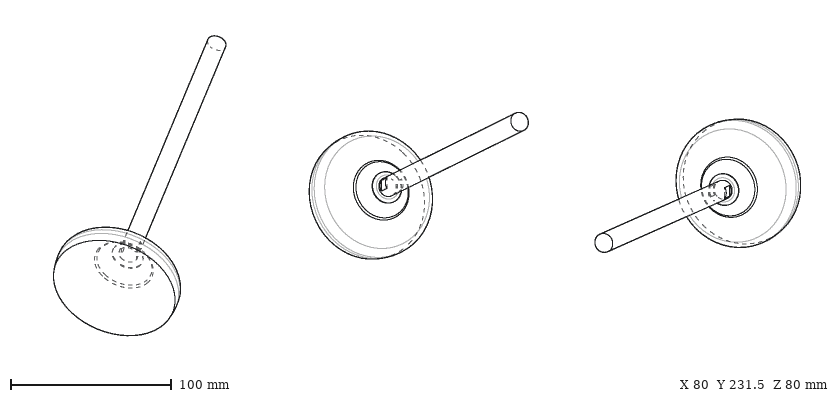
import cadquery as cq
import math

total_length = 231.5

base_radius = 39.4
rim_radius = 40.0
rim_start = 5.8
rim_end = 9.3
shoulder_slope = 20.5
neck_radius = 19.0
neck_height = 21.8
seat_radius = 17.8
seat_height = 23.2

dome_top_radius = 10.0
dome_top_height = 30.0
dome_rise = dome_top_height - seat_height
dome_centre_depth = (seat_radius**2 - dome_top_radius**2 - dome_rise**2) / (2 * dome_rise)
dome_sphere_radius = math.hypot(seat_radius, dome_centre_depth)
dome_mid_height = seat_height + dome_rise / 2
dome_mid_radius = math.sqrt(dome_sphere_radius**2 - (dome_centre_depth + dome_rise / 2) ** 2)

collar_edge_height = 30.8
collar_top_radius = 7.6
collar_top_height = 31.5
rod_radius = 6.0

flat_start = 33.3
flat_length = 8.0
across_flats = 10.0

shoulder_angle = math.radians(shoulder_slope)
neck_drop = (rim_radius - neck_radius) * math.tan(shoulder_angle)
corner_height = neck_height - neck_drop
shoulder_turn = math.pi / 2 - shoulder_angle
shoulder_arc_radius = (corner_height - rim_end) / math.tan(shoulder_turn / 2)


def shoulder_point(turn):
    """Point on the shoulder arc after turning away from the rim by an angle."""
    return (
        rim_radius - shoulder_arc_radius * (1 - math.cos(turn)),
        rim_end + shoulder_arc_radius * math.sin(turn),
    )


def revolve_about_y(profile):
    """Turn a closed radius/height profile around the Y axis."""
    return profile.close().revolve(360, (0, 0, 0), (0, 1, 0))


def make_foot():
    """Round foot with a bulged rim, a rounded shoulder and a flat seat on top."""
    profile = (
        cq.Workplane("XY")
        .lineTo(base_radius, 0)
        .lineTo(rim_radius, rim_start)
        .lineTo(rim_radius, rim_end)
        .threePointArc(shoulder_point(shoulder_turn / 2), shoulder_point(shoulder_turn))
        .lineTo(neck_radius, neck_height)
        .lineTo(seat_radius, seat_height)
        .lineTo(0, seat_height)
    )
    return revolve_about_y(profile)


def make_spindle():
    """Rod with a domed lower end, a collar and two wrench flats."""
    profile = (
        cq.Workplane("XY")
        .moveTo(0, seat_height)
        .lineTo(seat_radius, seat_height)
        .threePointArc((dome_mid_radius, dome_mid_height), (dome_top_radius, dome_top_height))
        .lineTo(dome_top_radius, collar_edge_height)
        .lineTo(collar_top_radius, collar_top_height)
        .lineTo(rod_radius, collar_top_height)
        .lineTo(rod_radius, total_length)
        .lineTo(0, total_length)
    )
    spindle = revolve_about_y(profile)
    for side in (-1, 1):
        spindle = spindle.cut(make_flat_cutter(side))
    return spindle


def make_flat_cutter(side):
    """Block removing the rod outside one wrench flat."""
    cutter_size = 2 * rod_radius
    centre_x = side * (across_flats + cutter_size) / 2
    centre_y = flat_start + flat_length / 2
    return cq.Workplane("XY").box(cutter_size, flat_length, cutter_size).translate((centre_x, centre_y, 0))


foot = make_foot()
spindle = make_spindle()

result = cq.Compound.makeCompound([foot.val(), spindle.val()])